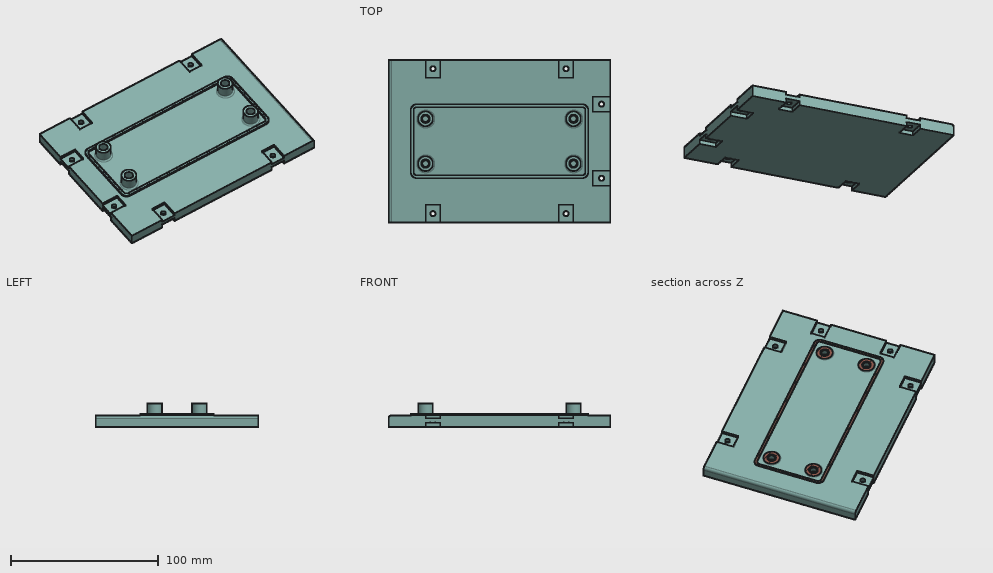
import cadquery as cq

length = 150.0
width = 110.0
plate_height = 8.0
end_radius = 2.0

rim_length = 120.0
rim_width = 50.0
rim_wall = 2.0
rim_height = 1.0
rim_corner_radius = 4.0

total_height = 16.0
boss_height = total_height - plate_height
boss_diameter = 10.0
boss_fillet = 1.0
boss_spacing_x = 100.0
boss_spacing_y = 30.3
bore_diameter = 5.7
pilot_diameter = 4.4
pilot_depth = plate_height / 2

tab_width = 10.0
tab_reach = 12.0
tab_top_depth = 2.0
tab_bottom_depth = 3.0
tab_hole_diameter = 3.3
tab_hole_inset = 6.0
long_edge_tab_x = 45.0
end_edge_tab_y = 25.0


def make_plate():
    """Plate with its bottom face at Z = 0 and the top of its -X end rounded."""
    plate = cq.Workplane("XY").box(length, width, plate_height, centered=(True, True, False))
    return plate.faces(">Z").edges("<X").fillet(end_radius)


def make_rounded_block(block_length, block_width, corner_radius):
    """Rim-height block with rounded corners, standing on the plate."""
    block = cq.Workplane("XY", origin=(0, 0, plate_height)).rect(block_length, block_width)
    return block.extrude(rim_height).edges("|Z").fillet(corner_radius)


def make_rim():
    outer = make_rounded_block(rim_length, rim_width, rim_corner_radius)
    inner = make_rounded_block(
        rim_length - 2 * rim_wall,
        rim_width - 2 * rim_wall,
        rim_corner_radius - rim_wall,
    )
    return outer.cut(inner)


def make_boss():
    """Standoff on the Z axis with a concave fillet flaring out at its foot."""
    radius = boss_diameter / 2
    foot_radius = radius + boss_fillet
    return (
        cq.Workplane("XZ")
        .moveTo(0, plate_height)
        .lineTo(foot_radius, plate_height)
        .radiusArc((radius, plate_height + boss_fillet), boss_fillet)
        .lineTo(radius, total_height)
        .lineTo(0, total_height)
        .close()
        .revolve(360, (0, 0, 0), (0, 1, 0))
    )


def make_boss_hole():
    """Bore through the standoff, stepping down to a blind pilot in the plate."""
    top = cq.Workplane("XY", origin=(0, 0, total_height))
    bore = top.circle(bore_diameter / 2).extrude(-boss_height)
    pilot = top.circle(pilot_diameter / 2).extrude(-boss_height - pilot_depth)
    return bore.union(pilot)


def make_tab_cutter():
    """Top notch, bottom notch and screw hole for an edge lying along X = 0."""
    bottom = cq.Workplane("XY").center(-tab_reach / 2, 0)
    bottom_notch = bottom.rect(tab_reach, tab_width).extrude(tab_bottom_depth)
    top = bottom.workplane(offset=plate_height)
    top_notch = top.rect(tab_reach, tab_width).extrude(-tab_top_depth)
    hole = cq.Workplane("XY").center(-tab_hole_inset, 0).circle(tab_hole_diameter / 2).extrude(plate_height)
    return bottom_notch.union(top_notch).union(hole)


result = make_plate().union(make_rim())

for x in (-boss_spacing_x / 2, boss_spacing_x / 2):
    for y in (-boss_spacing_y / 2, boss_spacing_y / 2):
        result = result.union(make_boss().translate((x, y, 0)))
        result = result.cut(make_boss_hole().translate((x, y, 0)))

tabs = [(length / 2, y, 0) for y in (-end_edge_tab_y, end_edge_tab_y)]
for x in (-long_edge_tab_x, long_edge_tab_x):
    tabs.append((x, width / 2, 90))
    tabs.append((x, -width / 2, -90))

for x, y, angle in tabs:
    cutter = make_tab_cutter().rotate((0, 0, 0), (0, 0, 1), angle)
    result = result.cut(cutter.translate((x, y, 0)))